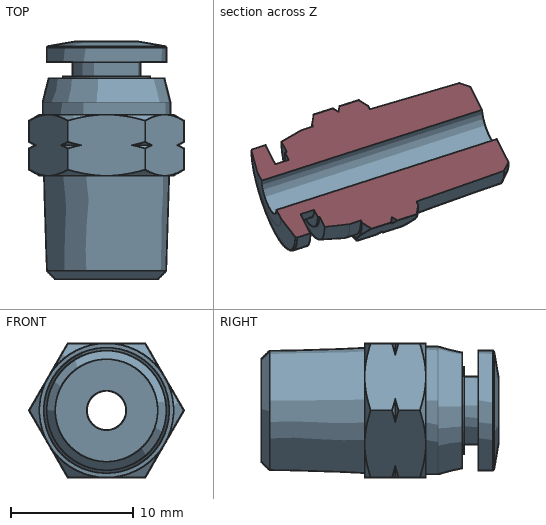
import cadquery as cq
import math


stub_end_diameter = 9.8
stub_chamfer = 0.7
stub_length = 8.5
pipe_taper = 1 / 16
stub_base_diameter = stub_end_diameter + pipe_taper * (stub_length - stub_chamfer)

hex_sides = 6
hex_width = 11.0
hex_length = 5.0
hex_chamfer_angle = 30.0
hex_corner_diameter = hex_width / math.cos(math.pi / hex_sides)
hex_start = stub_length
hex_end = hex_start + hex_length
hex_middle = hex_start + hex_length / 2

groove_diameter = 11.76
groove_flank_angle = 30.0

collar_diameter = 10.5
collar_straight_length = 1.0
collar_taper_length = 2.0
collar_end_diameter = 9.5
collar_shoulder = hex_end + collar_straight_length
collar_end = collar_shoulder + collar_taper_length

ring_diameter = 7.2
ring_height = 0.15
ring_end = collar_end + ring_height

neck_diameter = 5.6
flange_diameter = 9.85
flange_face_diameter = 5.2
flange_thickness = 1.7
flange_edge_chamfer = 0.12
flange_cone_height = 0.38
total_length = 19.5
flange_start = total_length - flange_thickness
flange_cone_start = total_length - flange_cone_height
flange_chamfer_start = flange_cone_start - flange_edge_chamfer

bore_diameter = 3.2


def revolve_about_y(points):
    """Revolve a closed outline of (radius, y) points around the Y axis."""
    return cq.Workplane("XY").polyline(points).close().revolve(360, (0, 0, 0), (0, 1, 0))


def cylinder_along_y(diameter, start, end):
    radius = diameter / 2
    return revolve_about_y([(0, start), (radius, start), (radius, end), (0, end)])


def make_stub():
    return revolve_about_y([
        (0, 0),
        (stub_end_diameter / 2 - stub_chamfer, 0),
        (stub_end_diameter / 2, stub_chamfer),
        (stub_base_diameter / 2, stub_length),
        (0, stub_length),
    ])


def make_hexagon():
    """Hexagon with flats facing +Z and -Z, corners chamfered at both ends."""
    prism = (
        cq.Workplane("XZ", origin=(0, hex_start, 0))
        .polygon(hex_sides, hex_corner_diameter)
        .extrude(-hex_length)
    )
    face_radius = hex_width / 2
    outer_radius = hex_corner_diameter
    chamfer_drop = (outer_radius - face_radius) * math.tan(math.radians(hex_chamfer_angle))
    chamfer_envelope = revolve_about_y([
        (0, hex_start),
        (face_radius, hex_start),
        (outer_radius, hex_start + chamfer_drop),
        (outer_radius, hex_end - chamfer_drop),
        (face_radius, hex_end),
        (0, hex_end),
    ])
    return prism.intersect(chamfer_envelope).cut(make_corner_groove())


def make_corner_groove():
    """V ring at mid-length that reaches only the hexagon corners."""
    root_radius = groove_diameter / 2
    outer_radius = hex_corner_diameter
    half_width = (outer_radius - root_radius) * math.tan(math.radians(groove_flank_angle))
    return revolve_about_y([
        (root_radius, hex_middle),
        (outer_radius, hex_middle + half_width),
        (outer_radius, hex_middle - half_width),
    ])


def make_collar():
    return revolve_about_y([
        (0, hex_end),
        (collar_diameter / 2, hex_end),
        (collar_diameter / 2, collar_shoulder),
        (collar_end_diameter / 2, collar_end),
        (0, collar_end),
    ])


def make_release_button():
    neck = cylinder_along_y(neck_diameter, ring_end, flange_start)
    flange = revolve_about_y([
        (0, flange_start),
        (flange_diameter / 2, flange_start),
        (flange_diameter / 2, flange_chamfer_start),
        (flange_diameter / 2 - flange_edge_chamfer, flange_cone_start),
        (flange_face_diameter / 2, total_length),
        (0, total_length),
    ])
    return neck.union(flange)


guide_ring = cylinder_along_y(ring_diameter, collar_end, ring_end)
bore = cylinder_along_y(bore_diameter, 0, total_length)

result = (
    make_stub()
    .union(make_hexagon())
    .union(make_collar())
    .union(guide_ring)
    .union(make_release_button())
    .cut(bore)
)